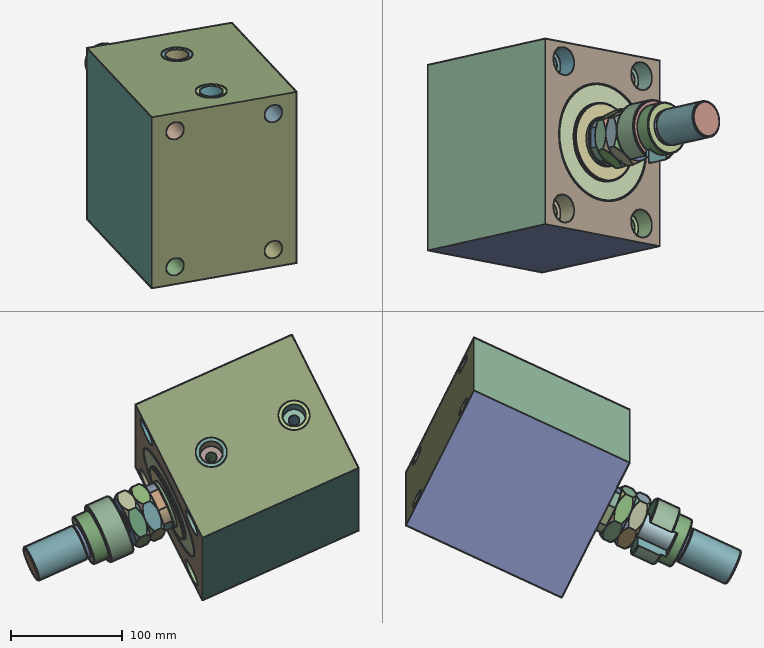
import cadquery as cq
import math


block_length = 155
block_width = 140
block_height = 170
bolt_spacing_y = 95
bolt_spacing_z = 135
bolt_hole_diameter = 17
bolt_recess_diameter = 25.5
bolt_recess_depth = 18

front_port_x = 42
port_pitch = 82
port_face_diameter = 28
port_face_depth = 0.5
port_thread_diameter = 21
port_thread_depth = 14
port_drill_diameter = 9.5

bore_diameter = 80
rear_wall = 20
bore_end = block_length - rear_wall

gland_diameter = 106
gland_depth = front_port_x
gland_edge_chamfer = 0.5
gland_edge_angle = 45
gland_collar_diameter = 71.5
gland_collar_height = 2.6
gland_collar_chamfer = 1

rod_diameter = 45
rod_shoulder_x = -6
rod_shoulder_chamfer = 0.5
rod_end_x = -15
rod_end_diameter = 44
rod_flat_size = 40
piston_length = 22

hex_count = 2
hex_sides = 6
hex_size = 46.5
hex_length = 14.2
stud_diameter = 22.5
stud_groove_width = 1.5
stud_groove_diameter = 21.5
hex_front_x = rod_end_x - hex_count * hex_length

stud_gap = 4.3
cap_back_x = hex_front_x - stud_gap
cap_length = 23
cap_diameter = 55.5
cap_chamfer = 1
collar_length = 14.3
collar_diameter = 46.5
collar_chamfer = 0.7
neck_length = 3
neck_diameter = 31.5
shank_length = 49
shank_diameter = 33
shank_chamfer = 1
slot_width = 24
slot_depth_in_collar = 5
cap_front_x = cap_back_x - cap_length
collar_front_x = cap_front_x - collar_length
shank_back_x = collar_front_x - neck_length
shank_front_x = shank_back_x - shank_length
slot_front_x = cap_front_x - slot_depth_in_collar


def cylinder_x(diameter, start_x, end_x):
    """Cylinder on the X axis between two X positions."""
    return cq.Workplane("YZ", origin=(start_x, 0, 0)).circle(diameter / 2).extrude(end_x - start_x)


def port_hole(diameter, port_x, floor_z):
    """Vertical drilling from the top face of the block down to floor_z."""
    depth = block_height / 2 - floor_z
    return cq.Workplane("XY", origin=(port_x, 0, floor_z)).circle(diameter / 2).extrude(depth)


def make_block():
    block = cq.Workplane("XY").box(block_length, block_width, block_height, centered=(False, True, True))
    block = (
        block.faces("<X").workplane(origin=(0, 0, 0))
        .rarray(bolt_spacing_y, bolt_spacing_z, 2, 2)
        .cboreHole(bolt_hole_diameter, bolt_recess_diameter, bolt_recess_depth)
    )
    block = block.cut(cylinder_x(gland_diameter, 0, gland_depth))
    block = block.cut(cylinder_x(bore_diameter, gland_depth, bore_end))
    seat_rim = cq.Workplane("YZ").circle(gland_diameter / 2 + gland_edge_chamfer)
    block = block.cut(seat_rim.extrude(gland_edge_chamfer, taper=gland_edge_angle))

    top_z = block_height / 2
    for port_x in (front_port_x, front_port_x + port_pitch):
        block = block.cut(port_hole(port_face_diameter, port_x, top_z - port_face_depth))
        block = block.cut(port_hole(port_thread_diameter, port_x, top_z - port_thread_depth))
        block = block.cut(port_hole(port_drill_diameter, port_x, 0))
    return block


def make_gland():
    gland = cylinder_x(gland_diameter, 0, gland_depth).faces("<X").chamfer(gland_edge_chamfer)
    collar = cylinder_x(gland_collar_diameter, -gland_collar_height, 0)
    collar = collar.faces("<X").chamfer(gland_collar_chamfer)
    return gland.union(collar).cut(cylinder_x(rod_diameter, -gland_collar_height, gland_depth))


def make_rod():
    rod = cylinder_x(rod_diameter, rod_shoulder_x, bore_end).faces("<X").chamfer(rod_shoulder_chamfer)
    piston = cylinder_x(bore_diameter, bore_end - piston_length, bore_end)
    flats = cq.Workplane("YZ", origin=(rod_end_x, 0, 0)).rect(rod_flat_size, rod_flat_size)
    flats = flats.extrude(rod_shoulder_x - rod_end_x)
    rod_end = cylinder_x(rod_end_diameter, rod_end_x, rod_shoulder_x).intersect(flats)
    return rod.union(piston).union(rod_end)


def make_hexagon(front_x):
    """Hexagon with corners up and down, its corners turned off on both faces."""
    corner_diameter = hex_size / math.cos(math.pi / hex_sides)
    prism = (
        cq.Workplane("YZ", origin=(front_x, 0, 0))
        .transformed(rotate=(0, 0, 90))
        .polygon(hex_sides, corner_diameter)
        .extrude(hex_length)
    )
    chamfer = (corner_diameter - hex_size) / 2
    envelope = cylinder_x(corner_diameter, front_x, front_x + hex_length).faces("<X or >X").chamfer(chamfer)
    return prism.intersect(envelope)


def make_stud():
    stud = cylinder_x(stud_diameter, slot_front_x, hex_front_x - stud_groove_width)
    stud = stud.union(cylinder_x(stud_groove_diameter, hex_front_x - stud_groove_width, hex_front_x))
    for index in range(hex_count):
        stud = stud.union(make_hexagon(hex_front_x + index * hex_length))
    return stud


def make_coupling():
    shank = cylinder_x(shank_diameter, shank_front_x, shank_back_x).faces("<X or >X").chamfer(shank_chamfer)
    neck = cylinder_x(neck_diameter, shank_back_x, collar_front_x)
    collar = cylinder_x(collar_diameter, collar_front_x, cap_front_x).faces("<X").chamfer(collar_chamfer)
    cap = cylinder_x(cap_diameter, cap_front_x, cap_back_x).faces("<X or >X").chamfer(cap_chamfer)
    coupling = shank.union(neck).union(collar).union(cap)

    slot_length = cap_back_x - slot_front_x
    slot_end = cylinder_x(slot_width, slot_front_x, cap_back_x)
    slot_mouth = cq.Workplane("XY", origin=(slot_front_x, 0, -cap_diameter / 2)).box(
        slot_length, slot_width, cap_diameter / 2, centered=(False, True, False)
    )
    return coupling.cut(slot_end).cut(slot_mouth)


block = make_block()
gland = make_gland()
rod = make_rod()
stud = make_stud()
coupling = make_coupling()

result = cq.Compound.makeCompound([block.val(), gland.val(), rod.val(), stud.val(), coupling.val()])